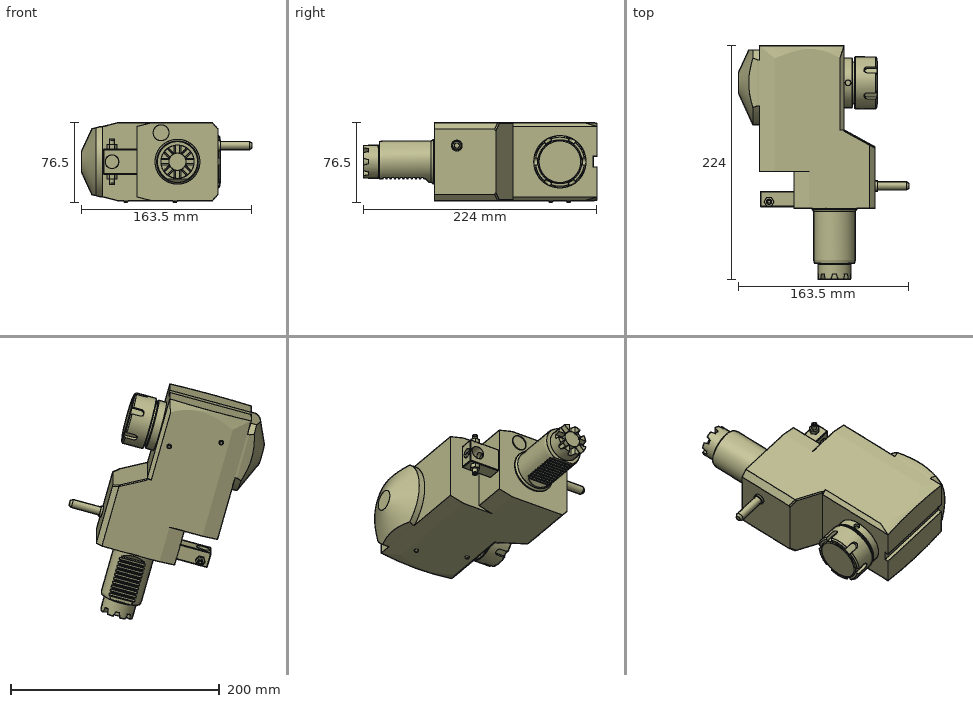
import cadquery as cq


housing_height = 75.0
half_height = housing_height / 2
back_y = 156.0
head_left_x = -72.0
head_right_x = 9.2
head_front_y = 35.2
base_half_width = 39.0
slope_head_y = 75.3
slope_base_y = 59.0
slope_edge = 1.1
left_chamfer_x = 14.8
left_chamfer_z = 3.8
base_chamfer_x = 5.5
base_chamfer_z = 6.3
head_chamfer_x = 4.0
crown_depth = 12.3
crown_peak_x = -20.8
crown_left_slope = 0.4
crown_right_slope = 0.7
crown_peak_depth = 3.4
crown_edge_drop = 0.7
back_slot_width = 10.0
back_slot_depth = 3.5

plug_x = -15.7
plug_z = 27.8
plug_radius = 7.6
plug_depth = 1.0
screw_spots = [(-49.5, 128.5), (-2.5, 111.5)]
screw_base_radius = 2.2
screw_tip_radius = 1.3
screw_height = 1.5

spindle_y = 120.3
cap_radius = 40.3
cap_tip_radius = 10.0
cap_tip_x = -92.0
cap_rim_x = -78.2
cap_lip_x = -74.0
cap_back_y = 151.9
nut_radius = 25.0
nut_start_x = 19.3
nut_chamfer_x = 39.5
nut_shoulder_x = 40.8
nut_end_x = 41.5
nut_shoulder_radius = 23.5
nut_step_radius = 21.0
nut_end_radius = 20.0
nut_neck_radius = 20.2
collar_radius = 24.0
collar_end_x = 17.2
collar_edge = 0.7
collar_hole_x = 13.0
collar_hole_radius = 2.7
collar_hole_depth = 3.4
nut_slot_count = 6
nut_slot_width = 6.7
nut_slot_depth = 3.5
nut_slot_start_x = 28.5

shank_radius = 20.0
shank_end_y = -52.6
shank_taper_length = 2.7
shank_taper = 0.7
flange_radius = 21.5
flange_length = 2.0
flange_foot_y = -3.1
neck_radius = 13.2
coupling_radius = 16.0
coupling_start_y = -53.8
coupling_end_y = -68.0
coupling_core_radius = 8.3
coupling_slot_count = 8
coupling_slot_depth = 5.0
coupling_slot_mouth = 6.5
coupling_slot_floor = 3.8

rack_flat_z = -16.4
rack_ramp_y = -8.7
rack_pitch = 4.0
rack_groove_count = 10
rack_first_groove_y = -11.6
rack_groove_depth = 1.1
rack_groove_mouth = 3.1
rack_groove_floor = 1.8

pin_y = 21.5
pin_z = 15.5
pin_radius = 4.0
pin_end_x = 71.5
pin_tip_length = 2.5
pin_tip_radius = 2.5
pin_collar_radius = 5.2
pin_collar_length = 2.2

block_left_x = -71.0
block_front_y = 1.3
block_back_y = 16.4
block_half_height = 12.0
block_edge = 0.7
port_x = -62.7
port_radius = 6.5
side_port_y = 7.8
side_port_radius = 4.7
side_port_floor_x = -53.8
pilot_radius = 1.0
pilot_depth = 4.5
stud_y = 6.3
stud_radius = 2.5
stud_end_z = 22.0
stud_nut_corners = 9.5
stud_nut_height = 4.3
stud_socket_corners = 3.1
stud_socket_depth = 1.8


def revolve_along_x(profile):
    """Turn (x, radius) points about the spindle axis."""
    points = [(x, spindle_y + radius) for x, radius in profile]
    return (
        cq.Workplane("XY").polyline(points).close()
        .revolve(360, (0, spindle_y, 0), (1, spindle_y, 0))
    )


def corner_prism(edge_x, width, height, y_start, y_end):
    """Wedges that bevel the upper and lower edge at edge_x; width is signed, pointing inward."""
    wedges = cq.Workplane("XY")
    for side in (1, -1):
        z_edge = side * half_height
        wedge = (
            cq.Workplane("XZ", origin=(0, y_end, 0))
            .polyline([(edge_x + width, z_edge), (edge_x, z_edge), (edge_x, z_edge - side * height)])
            .close().extrude(y_end - y_start)
        )
        wedges = wedges.add(wedge)
    return wedges.combine()


def crown_cutter():
    """Material above the ruled surface that joins the curved back edge to the curved top edge."""
    top_z = half_height
    corner_z = half_height - left_chamfer_z
    corner_y = back_y - crown_depth
    middle_x = (head_left_x + head_right_x) / 2
    back_left = cq.Vector(head_left_x, back_y, corner_z)
    back_right = cq.Vector(head_right_x, back_y, corner_z)
    back_peak = cq.Vector(middle_x, back_y, top_z - crown_edge_drop)
    top_left = cq.Vector(head_left_x + left_chamfer_x, corner_y, top_z)
    top_right = cq.Vector(head_right_x - head_chamfer_x, corner_y, top_z)
    top_peak = cq.Vector(crown_peak_x, back_y - crown_peak_depth, top_z)
    outer_left = cq.Vector(head_left_x, back_y, top_z)
    outer_right = cq.Vector(head_right_x, back_y, top_z)

    back_arc = cq.Edge.makeThreePointArc(back_left, back_peak, back_right)
    top_arc = cq.Edge.makeSpline(
        [top_left, top_peak, top_right],
        tangents=[cq.Vector(1, crown_left_slope, 0), cq.Vector(1, -crown_right_slope, 0)],
    )
    left_slant = cq.Edge.makeLine(back_left, top_left)
    right_slant = cq.Edge.makeLine(back_right, top_right)
    left_rise = cq.Edge.makeLine(back_left, outer_left)
    right_rise = cq.Edge.makeLine(back_right, outer_right)
    left_run = cq.Edge.makeLine(top_left, outer_left)
    right_run = cq.Edge.makeLine(top_right, outer_right)
    ridge = cq.Edge.makeLine(outer_left, outer_right)

    outlines = [
        [back_arc, right_rise, ridge, left_rise],
        [top_arc, right_run, ridge, left_run],
        [left_slant, left_run, left_rise],
        [right_slant, right_run, right_rise],
    ]
    faces = [cq.Face.makeFromWires(cq.Wire.assembleEdges(outline)) for outline in outlines]
    faces.append(cq.Face.makeRuledSurface(back_arc, top_arc))
    return cq.Workplane(cq.Solid.makeSolid(cq.Shell.makeShell(faces)).fix())


def make_housing():
    outline = [
        (-base_half_width, 0),
        (base_half_width, 0),
        (base_half_width, slope_base_y),
        (head_right_x, slope_head_y),
        (head_right_x, back_y),
        (head_left_x, back_y),
        (head_left_x, head_front_y),
        (-base_half_width, head_front_y),
    ]
    housing = (
        cq.Workplane("XY").workplane(offset=-half_height)
        .polyline(outline).close().extrude(housing_height)
    )
    side_bevels = [
        (head_left_x, left_chamfer_x, left_chamfer_z, head_front_y, back_y),
        (-base_half_width, left_chamfer_x, left_chamfer_z, 0, head_front_y),
        (base_half_width, -base_chamfer_x, base_chamfer_z, 0, slope_head_y),
    ]
    for bevel in side_bevels:
        housing = housing.cut(corner_prism(*bevel))

    slope_normal = cq.Vector(slope_head_y - slope_base_y, base_half_width - head_right_x, 0)
    housing = (
        housing.faces(cq.selectors.ParallelDirSelector(slope_normal))
        .edges("not |Z").chamfer(slope_edge)
    )
    housing = housing.cut(corner_prism(
        head_right_x, -head_chamfer_x, left_chamfer_z, slope_head_y, back_y
    ))

    crown = crown_cutter()
    housing = housing.cut(crown).cut(crown.mirror("XY"))

    back_slot = cq.Workplane("XY").box(
        head_right_x - head_left_x, 2 * back_slot_depth, back_slot_width
    ).translate(((head_left_x + head_right_x) / 2, back_y, 0))
    plug_recess = (
        cq.Workplane("XZ").center(plug_x, plug_z).circle(plug_radius).extrude(-plug_depth)
    )
    housing = housing.cut(back_slot).cut(plug_recess)

    screw = cq.Workplane(cq.Solid.makeCone(
        screw_base_radius, screw_tip_radius, screw_height,
        cq.Vector(0, 0, -half_height), cq.Vector(0, 0, -1),
    ))
    for x, y in screw_spots:
        housing = housing.union(screw.translate((x, y, 0)))
    return housing


def make_cap():
    """Conical rear cap, trimmed flat at the back and to the slope of the housing bevels."""
    cap = revolve_along_x([
        (head_left_x, 0), (cap_tip_x, 0), (cap_tip_x, cap_tip_radius),
        (cap_rim_x, cap_radius), (head_left_x, cap_radius),
    ])
    bevel_slope = left_chamfer_z / left_chamfer_x
    rim_z = half_height - left_chamfer_z
    tip_z = rim_z - bevel_slope * (cap_lip_x - cap_tip_x)
    slope_trim = (
        cq.Workplane("XZ", origin=(0, spindle_y, 0))
        .polyline([
            (cap_tip_x, -tip_z), (cap_lip_x, -rim_z), (head_left_x, -rim_z),
            (head_left_x, rim_z), (cap_lip_x, rim_z), (cap_tip_x, tip_z),
        ])
        .close().extrude(cap_radius, both=True)
    )
    back_trim = (
        cq.Workplane("XY", origin=(cap_tip_x, spindle_y - cap_radius, -half_height))
        .box(head_left_x - cap_tip_x, cap_back_y - spindle_y + cap_radius, housing_height, centered=False)
    )
    return cap.intersect(slope_trim).intersect(back_trim)


def make_spindle_nose():
    """Collar, neck and slotted clamping nut."""
    nose = revolve_along_x([
        (head_right_x, 0),
        (head_right_x, collar_radius),
        (collar_end_x - collar_edge, collar_radius),
        (collar_end_x, collar_radius - collar_edge),
        (collar_end_x, nut_neck_radius),
        (nut_start_x, nut_neck_radius),
        (nut_start_x, nut_radius - collar_edge),
        (nut_start_x + collar_edge, nut_radius),
        (nut_chamfer_x, nut_radius),
        (nut_shoulder_x, nut_shoulder_radius),
        (nut_shoulder_x, nut_step_radius),
        (nut_end_x, nut_end_radius),
        (nut_end_x, 0),
    ])
    collar_hole = (
        cq.Workplane("XY", origin=(collar_hole_x, spindle_y, collar_radius - collar_hole_depth))
        .circle(collar_hole_radius).extrude(2 * collar_hole_depth)
    )
    nose = nose.cut(collar_hole)

    slot_radius = nut_slot_width / 2
    slot_arc_x = nut_slot_start_x + slot_radius
    slot = (
        cq.Workplane("XY", origin=(0, spindle_y, nut_radius - nut_slot_depth))
        .moveTo(nut_shoulder_x, -slot_radius)
        .lineTo(slot_arc_x, -slot_radius)
        .threePointArc((nut_slot_start_x, 0), (slot_arc_x, slot_radius))
        .lineTo(nut_shoulder_x, slot_radius)
        .close().extrude(2 * nut_slot_depth)
    )
    slot_step = 360 / nut_slot_count
    for index in range(nut_slot_count):
        angle = (index + 0.5) * slot_step
        nose = nose.cut(slot.rotate((0, spindle_y, 0), (1, spindle_y, 0), angle))
    return nose


def make_shank():
    profile = [
        (0, 0),
        (flange_radius, 0),
        (flange_radius, -flange_length / 2),
        (shank_radius + shank_taper, -flange_length),
        (shank_radius, flange_foot_y),
        (shank_radius, shank_end_y + shank_taper_length),
        (shank_radius - shank_taper, shank_end_y),
        (neck_radius, shank_end_y),
        (neck_radius, coupling_start_y),
        (coupling_radius, coupling_start_y),
        (coupling_radius, coupling_end_y),
        (0, coupling_end_y),
    ]
    shank = cq.Workplane("XY").polyline(profile).close().revolve(360, (0, 0, 0), (0, 1, 0))

    run_out = flange_radius + rack_flat_z
    flat_cut = (
        cq.Workplane("YZ")
        .polyline([
            (shank_end_y, rack_flat_z), (rack_ramp_y, rack_flat_z),
            (rack_ramp_y + run_out, -flange_radius), (shank_end_y, -flange_radius),
        ])
        .close().extrude(flange_radius, both=True)
    )
    shank = shank.cut(flat_cut)

    for index in range(rack_groove_count):
        groove_y = rack_first_groove_y - index * rack_pitch
        groove = (
            cq.Workplane("YZ", origin=(0, groove_y, rack_flat_z))
            .polyline([
                (-rack_groove_mouth / 2, 0), (-rack_groove_floor / 2, rack_groove_depth),
                (rack_groove_floor / 2, rack_groove_depth), (rack_groove_mouth / 2, 0),
            ])
            .close().extrude(flange_radius, both=True)
        )
        shank = shank.cut(groove)
    return shank.cut(coupling_slots())


def coupling_slots():
    """Radial slots with sloping walls around the solid core of the coupling."""
    floor_y = coupling_end_y + coupling_slot_depth
    slot = (
        cq.Workplane("XY")
        .polyline([
            (-coupling_slot_mouth / 2, coupling_end_y), (coupling_slot_mouth / 2, coupling_end_y),
            (coupling_slot_floor / 2, floor_y), (-coupling_slot_floor / 2, floor_y),
        ])
        .close().extrude(2 * coupling_radius)
    )
    slots = slot
    for index in range(1, coupling_slot_count):
        angle = index * 360 / coupling_slot_count
        slots = slots.union(slot.rotate((0, 0, 0), (0, 1, 0), angle))
    core = (
        cq.Workplane("XZ", origin=(0, floor_y, 0))
        .circle(coupling_core_radius).extrude(coupling_slot_depth)
    )
    return slots.cut(core)


def make_pin():
    profile = [
        (base_half_width, 0),
        (base_half_width, pin_collar_radius),
        (base_half_width + pin_collar_length, pin_collar_radius),
        (base_half_width + pin_collar_length, pin_radius),
        (pin_end_x - pin_tip_length, pin_radius),
        (pin_end_x, pin_tip_radius),
        (pin_end_x, 0),
    ]
    pin = cq.Workplane("XY").polyline(profile).close().revolve(360, (0, 0, 0), (1, 0, 0))
    return pin.translate((0, pin_y, pin_z))


def make_block():
    length = -base_half_width - block_left_x
    depth = block_back_y - block_front_y
    block = (
        cq.Workplane("XY").box(length, depth, 2 * block_half_height)
        .edges("|X or <X").chamfer(block_edge)
        .translate((block_left_x + length / 2, block_front_y + depth / 2, 0))
    )
    front_port = (
        cq.Workplane("XZ", origin=(port_x, block_front_y, 0))
        .circle(port_radius).extrude(-depth)
    )
    side_port = (
        cq.Workplane("YZ", origin=(block_left_x, side_port_y, 0))
        .circle(side_port_radius).extrude(side_port_floor_x - block_left_x)
    )
    pilot = (
        cq.Workplane("YZ", origin=(side_port_floor_x, side_port_y, 0))
        .circle(pilot_radius).extrude(pilot_depth)
    )
    block = block.cut(front_port).cut(side_port).cut(pilot)

    stud = (
        cq.Workplane("XY", origin=(port_x, stud_y, block_half_height))
        .polygon(6, stud_nut_corners).extrude(stud_nut_height)
        .faces(">Z").workplane()
        .circle(stud_radius).extrude(stud_end_z - block_half_height - stud_nut_height)
        .faces(">Z").workplane()
        .polygon(6, stud_socket_corners).cutBlind(-stud_socket_depth)
    )
    return block.union(stud).union(stud.mirror("XY"))


result = (
    make_housing()
    .union(make_cap())
    .union(make_spindle_nose())
    .union(make_shank())
    .union(make_pin())
    .union(make_block())
)